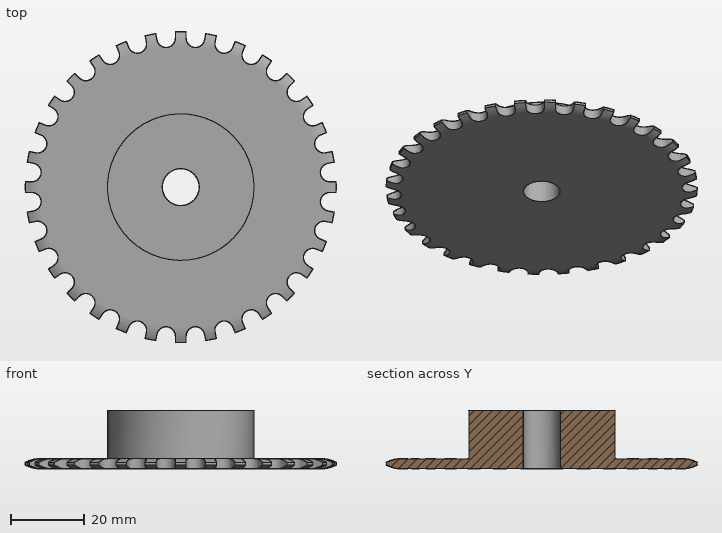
import cadquery as cq
import math

tooth_count = 32
tip_radius = 42.45
pitch_radius = 40.8
gap_diameter = 5.0
plate_thickness = 2.8

face_radius = 38.55
side_round_radius = 8.0

total_height = 16.0
hub_diameter = 40.0
bore_diameter = 10.0

gap_radius = gap_diameter / 2
tooth_pitch_angle = 360 / tooth_count
half_pitch_angle = math.radians(tooth_pitch_angle / 2)
round_width = tip_radius - face_radius


def side_round_drop(distance):
    """Fall of the tooth side below the flat face, at a distance outside the face circle."""
    return side_round_radius - math.sqrt(side_round_radius**2 - distance**2)


def make_rounded_disc():
    """Revolve the plate section, whose rim narrows along arcs tangent to both flat faces."""
    tip_drop = side_round_drop(round_width)
    mid_radius = face_radius + round_width / 2
    mid_drop = side_round_drop(round_width / 2)
    section = (
        cq.Workplane("XZ")
        .lineTo(face_radius, 0)
        .threePointArc((mid_radius, mid_drop), (tip_radius, tip_drop))
        .lineTo(tip_radius, plate_thickness - tip_drop)
        .threePointArc((mid_radius, plate_thickness - mid_drop), (face_radius, plate_thickness))
        .lineTo(0, plate_thickness)
        .close()
    )
    return section.revolve(360, (0, 0, 0), (0, 1, 0))


def make_tooth_gap():
    """Cutter for the gap centred on +X: a round roller seat with walls parallel to the teeth beside it."""
    wall_start_x = pitch_radius - gap_radius * math.sin(half_pitch_angle)
    wall_start_y = gap_radius * math.cos(half_pitch_angle)
    wall_end_x = tip_radius + gap_radius
    wall_end_y = wall_start_y + (wall_end_x - wall_start_x) * math.tan(half_pitch_angle)
    return (
        cq.Workplane("XY")
        .moveTo(wall_end_x, -wall_end_y)
        .lineTo(wall_start_x, -wall_start_y)
        .threePointArc((pitch_radius - gap_radius, 0), (wall_start_x, wall_start_y))
        .lineTo(wall_end_x, wall_end_y)
        .close()
        .extrude(plate_thickness)
    )


def cut_teeth(disc):
    """Cut the gaps all round, leaving a tooth centred on each axis."""
    gap = make_tooth_gap()
    for index in range(tooth_count):
        angle = (index + 0.5) * tooth_pitch_angle
        disc = disc.cut(gap.rotate((0, 0, 0), (0, 0, 1), angle))
    return disc


sprocket = cut_teeth(make_rounded_disc())
hub = cq.Workplane("XY").circle(hub_diameter / 2).extrude(total_height)
bore = cq.Workplane("XY").circle(bore_diameter / 2).extrude(total_height)
result = sprocket.union(hub).cut(bore)